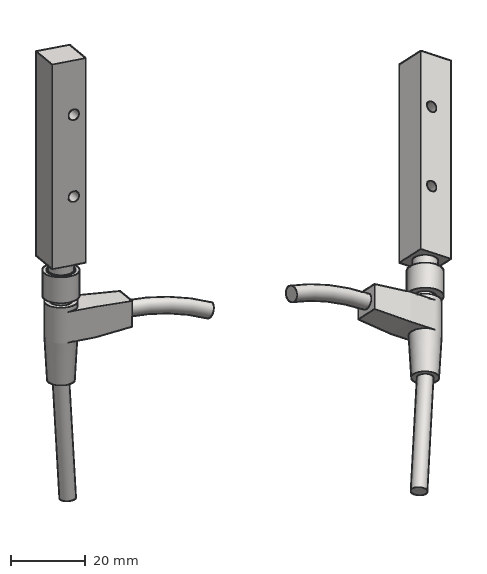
import cadquery as cq
import math

total_height = 130.2

housing_side = 10.0
housing_length = 59.9
cross_hole_diameter = 3.1
cross_hole_offset_y = 1.4
upper_hole_depth = 15.9
cross_hole_pitch = 24.0
stub_diameter = 7.0
stub_gap = 3.1

nut_diameter = housing_side
nut_length = 7.5
nut_bore_diameter = 8.0
nut_bore_depth = 5.2
neck_diameter = 6.0
neck_length = 1.5
barrel_diameter = 9.0
barrel_length = 10.4
boot_length = 12.6
boot_end_size = 7.5
arm_straight_reach = 8.1
arm_reach = 19.4

cable_diameter = 4.5
cable_radius = cable_diameter / 2
straight_cable_tilt = math.radians(3.3)
bent_cable_radius = 62.5
bent_cable_run = 24.7

housing_bottom = total_height - housing_length
nut_top = housing_bottom - stub_gap
spigot_bottom = nut_top - nut_bore_depth
nut_bottom = nut_top - nut_length
barrel_top = nut_bottom - neck_length
barrel_bottom = barrel_top - barrel_length
boot_bottom = barrel_bottom - boot_length
arm_axis_z = barrel_bottom + barrel_diameter / 2


def cylinder(diameter, bottom, top):
    """Upright cylinder on the sensor axis."""
    return cq.Workplane("XY").workplane(offset=bottom).circle(diameter / 2).extrude(top - bottom)


def make_housing():
    bar = cq.Workplane("XY").workplane(offset=housing_bottom).rect(housing_side, housing_side)
    stub = cylinder(stub_diameter, nut_top, housing_bottom)
    spigot = cylinder(nut_bore_diameter, spigot_bottom, nut_top)
    body = bar.extrude(housing_length).union(stub).union(spigot)
    upper_hole_z = total_height - upper_hole_depth
    hole_centers = [(cross_hole_offset_y, upper_hole_z - i * cross_hole_pitch) for i in range(2)]
    holes = (
        cq.Workplane("YZ")
        .pushPoints(hole_centers)
        .circle(cross_hole_diameter / 2)
        .extrude(housing_side / 2, both=True)
    )
    return body.cut(holes)


def make_arm():
    """Square arm along +Y, as wide as the barrel and tapered towards its end."""
    straight = cq.Workplane("XY").box(
        barrel_diameter, arm_straight_reach, barrel_diameter, centered=(True, False, True)
    )
    taper = (
        cq.Workplane("XZ", origin=(0, arm_straight_reach, 0))
        .rect(barrel_diameter, barrel_diameter)
        .workplane(offset=arm_straight_reach - arm_reach)
        .rect(boot_end_size, boot_end_size)
        .loft(ruled=True)
    )
    return straight.union(taper).translate((0, 0, arm_axis_z))


def make_plug():
    nut = cylinder(nut_diameter, nut_bottom, nut_top)
    nut = nut.cut(cylinder(nut_bore_diameter, spigot_bottom, nut_top))
    neck = cylinder(neck_diameter, barrel_top, nut_bottom)
    barrel = cylinder(barrel_diameter, barrel_bottom, barrel_top)
    boot = (
        cq.Workplane("XY", origin=(0, 0, boot_bottom))
        .circle(boot_end_size / 2)
        .workplane(offset=boot_length)
        .circle(barrel_diameter / 2)
        .loft()
    )
    return nut.union(neck).union(barrel).union(boot).union(make_arm())


def make_straight_cable():
    """Cable leaning towards +Y; its upper end is flush with the boot, its lower end is square."""
    axis = cq.Vector(0, math.sin(straight_cable_tilt), -math.cos(straight_cable_tilt))
    end_center_z = cable_radius * math.sin(straight_cable_tilt)
    exposed_length = (boot_bottom - end_center_z) / math.cos(straight_cable_tilt)
    start = cq.Vector(0, 0, boot_bottom) - axis * cable_radius
    cable = cq.Solid.makeCylinder(cable_radius, exposed_length + cable_radius, start, axis)
    trim = cylinder(2 * cable_diameter, boot_bottom, boot_bottom + cable_diameter)
    return cq.Workplane(obj=cable).cut(trim)


def make_bent_cable():
    """Cable leaving the arm along +Y and bending downwards in an arc."""
    bend_angle = math.asin(bent_cable_run / bent_cable_radius)
    return (
        cq.Workplane("XZ", origin=(0, arm_reach, arm_axis_z))
        .circle(cable_radius)
        .revolve(
            math.degrees(bend_angle),
            (0, -bent_cable_radius, 0),
            (-1, -bent_cable_radius, 0),
        )
    )


housing = make_housing()
plug = make_plug()
straight_cable = make_straight_cable()
bent_cable = make_bent_cable()

result = cq.Compound.makeCompound(
    [housing.val(), plug.val(), straight_cable.val(), bent_cable.val()]
)